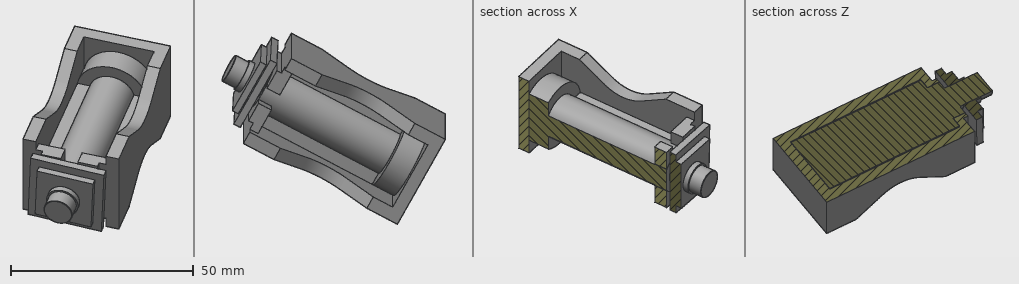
import cadquery as cq
import math


HOUSING_WIDTH = 27.5
HOUSING_LENGTH = 48.05
HOUSING_HEIGHT = 26.0
CAVITY_WIDTH = 20.1
BACK_WALL = 3.5
FRONT_WALL = 2.6
FRONT_WALL_HEIGHT = 20.05
BOSS_WIDTH = 16.2
BOSS_DEPTH = 1.45
SLOT_WIDTH = 4.85

WAIST_LENGTH = 28.95
WAIST_ANGLE = 30.0
WAIST_RADIUS = 12.0

HEAD_RADIUS = 9.95
HEAD_LENGTH = 6.5
BARREL_RADIUS = 6.5
FIN_WIDTH = 19.75
FIN_THICKNESS = 3.0
SHAFT_RADIUS = 4.0
TIP_CHAMFER = 0.1

KNOB_GAP = 1.1
PLATE_SIDE = 21.0
PLATE_THICKNESS = 2.05
STEP_SIDE = 16.05
STEP_THICKNESS = 1.8
COLLAR_RADIUS = 4.5
COLLAR_LENGTH = 1.6
KNOB_TILT = 2.0
SHAFT_TIP = 4.0

HOUSING_BACK = HOUSING_LENGTH
CAVITY_BACK = HOUSING_BACK - BACK_WALL
HEAD_FRONT = CAVITY_BACK - HEAD_LENGTH
BOSS_FRONT = -BOSS_DEPTH
PLATE_BACK = BOSS_FRONT - KNOB_GAP
STEP_BACK = PLATE_BACK - PLATE_THICKNESS
COLLAR_BACK = STEP_BACK - STEP_THICKNESS
COLLAR_FRONT = COLLAR_BACK - COLLAR_LENGTH
TIP_FRONT = COLLAR_FRONT - SHAFT_TIP


def block(width, height, front, back):
    """Box centred on the shaft axis, from Y = front to Y = back."""
    return cq.Workplane("XY").box(width, back - front, height).translate((0, (front + back) / 2, 0))


def cylinder(radius, front, back):
    """Cylinder on the shaft axis, from Y = front to Y = back."""
    back_plane = cq.Plane(origin=(0, back, 0), xDir=(0, 0, 1), normal=(0, -1, 0))
    return cq.Workplane(back_plane).circle(radius).extrude(back - front)


def waist_cut():
    """Cutter for the top edge: two sloping flanks joined by a tangent arc, right across X."""
    slope = math.radians(WAIST_ANGLE)
    middle = HOUSING_LENGTH / 2
    half_length = WAIST_LENGTH / 2
    half_arc = WAIST_RADIUS * math.sin(slope)
    edge_z = HOUSING_HEIGHT / 2
    arc_end_z = edge_z - (half_length - half_arc) * math.tan(slope)
    lowest_z = arc_end_z - WAIST_RADIUS * (1 - math.cos(slope))
    return (
        cq.Workplane("YZ")
        .moveTo(middle - half_length, edge_z)
        .lineTo(middle - half_arc, arc_end_z)
        .threePointArc((middle, lowest_z), (middle + half_arc, arc_end_z))
        .lineTo(middle + half_length, edge_z)
        .close()
        .extrude(HOUSING_WIDTH / 2, both=True)
    )


def make_housing():
    """Frame open at the top and bottom, with a bored and slotted front wall."""
    frame = block(HOUSING_WIDTH, HOUSING_HEIGHT, 0, HOUSING_BACK)
    frame = frame.cut(block(CAVITY_WIDTH, HOUSING_HEIGHT, 0, CAVITY_BACK))
    top_cut = waist_cut()
    frame = frame.cut(top_cut).cut(top_cut.mirror("XY"))

    front_wall = block(CAVITY_WIDTH, FRONT_WALL_HEIGHT, 0, FRONT_WALL)
    boss = block(BOSS_WIDTH, FRONT_WALL_HEIGHT, BOSS_FRONT, 0)
    bore = cylinder(BARREL_RADIUS, BOSS_FRONT, FRONT_WALL)
    slot = block(SLOT_WIDTH, FRONT_WALL_HEIGHT, BOSS_FRONT, FRONT_WALL)
    return frame.union(front_wall.union(boss)).cut(bore).cut(slot)


def make_plunger():
    """Head, barrel with a flat fin on each side, and a slimmer shaft with a chamfered tip."""
    head = cylinder(HEAD_RADIUS, HEAD_FRONT, CAVITY_BACK)
    barrel = cylinder(BARREL_RADIUS, BOSS_FRONT, HEAD_FRONT)
    fins = block(FIN_WIDTH, FIN_THICKNESS, FRONT_WALL, HEAD_FRONT)
    shaft = cylinder(SHAFT_RADIUS, TIP_FRONT, BOSS_FRONT).faces("<Y").chamfer(TIP_CHAMFER)
    return head.union(barrel).union(fins).union(shaft)


def make_knob():
    """Two tilted square plates and a round collar, bored for the shaft."""
    plate = block(PLATE_SIDE, PLATE_SIDE, STEP_BACK, PLATE_BACK)
    step = block(STEP_SIDE, STEP_SIDE, COLLAR_BACK, STEP_BACK)
    squares = plate.union(step).rotate((0, 0, 0), (0, 1, 0), KNOB_TILT)
    collar = cylinder(COLLAR_RADIUS, COLLAR_FRONT, COLLAR_BACK)
    bore = cylinder(SHAFT_RADIUS, COLLAR_FRONT, PLATE_BACK)
    return squares.union(collar).cut(bore)


housing = make_housing()
plunger = make_plunger()
knob = make_knob()

result = cq.Compound.makeCompound([housing.val(), plunger.val(), knob.val()])